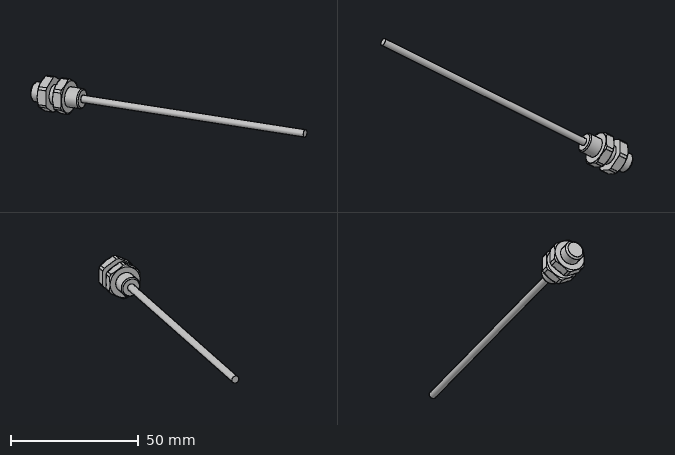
import cadquery as cq

total_length = 121.8

body_diameter = 8.0
body_length = 21.7
front_face_diameter = 6.5
front_chamfer_length = 0.7
rear_chamfer = 0.5

cable_diameter = 3.0

nut_across_flats = 13.0
nut_corner_diameter = 14.4
nut_thickness = 4.0
nut_chamfer_diameter = 12.8
nut_chamfer_length = 0.4
front_nut_start = 4.9
rear_nut_start = 11.8


def revolve_about_x(profile):
    """Revolve a list of (x, radius) points, closed along the X axis."""
    first_x = profile[0][0]
    last_x = profile[-1][0]
    points = [(first_x, 0), *profile, (last_x, 0)]
    return cq.Workplane("XY").polyline(points).close().revolve(360, (0, 0, 0), (1, 0, 0))


def make_nut(start, chamfer_rear):
    """Hex nut with rounded corners, flats facing +Y and -Y, always chamfered in front."""
    end = start + nut_thickness
    corner_radius = nut_corner_diameter / 2
    face_radius = nut_chamfer_diameter / 2
    hexagon = (
        cq.Workplane("YZ", origin=(start, 0, 0))
        .polygon(6, nut_across_flats, circumscribed=True)
        .extrude(nut_thickness)
    )
    envelope = [(start, face_radius), (start + nut_chamfer_length, corner_radius)]
    if chamfer_rear:
        envelope += [(end - nut_chamfer_length, corner_radius), (end, face_radius)]
    else:
        envelope.append((end, corner_radius))
    return hexagon.intersect(revolve_about_x(envelope))


body_radius = body_diameter / 2
body = revolve_about_x([
    (0, front_face_diameter / 2),
    (front_chamfer_length, body_radius),
    (body_length - rear_chamfer, body_radius),
    (body_length, body_radius - rear_chamfer),
])

cable_start = body_length / 2
cable_radius = cable_diameter / 2
cable = revolve_about_x([(cable_start, cable_radius), (total_length, cable_radius)])

front_nut = make_nut(front_nut_start, chamfer_rear=False)
rear_nut = make_nut(rear_nut_start, chamfer_rear=True)

result = body.union(cable).union(front_nut).union(rear_nut)